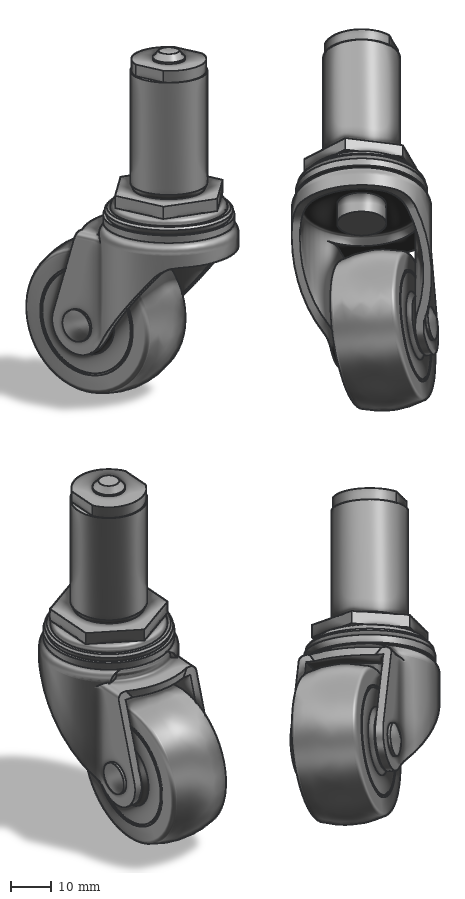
import cadquery as cq
import math


TOTAL_HEIGHT = 92.0
TRAIL = 19.0

WHEEL_RADIUS = 20.0
TREAD_EDGE_RADIUS = 18.8
TREAD_HALF_WIDTH = 7.4
WHEEL_HALF_WIDTH = 8.5
SIDE_RADIUS = 17.5
GROOVE_OUTER_RADIUS = 14.0
GROOVE_INNER_RADIUS = 13.4
GROOVE_DEPTH = 0.3
HUB_BASE_RADIUS = 8.6
HUB_FACE_RADIUS = 7.2
HUB_HALF_WIDTH = 9.6

AXLE_RADIUS = 3.1
AXLE_HEAD_RADIUS = 4.1
AXLE_HEAD_RIM = 0.7
AXLE_HEAD_HEIGHT = 1.8

FORK_HALF_WIDTH = 12.05
SHEET = 2.0
SKIRT_RADIUS = 17.3
SKIRT_LEG_BLEND = 4.2
SKIRT_BOTTOM = 41.1
CROWN_TOP = 47.3
CROWN_EDGE_FILLET = 3.0
ROOF_TOP = 44.2
ROOF_LIP_RADIUS = 21.7
ROOF_EDGE_FILLET = 1.7
FRONT_WALL_RADIUS = 16.4
FRONT_WALL_EDGE = 1.4
FRONT_WALL_FOOT = 1.3
LEG_FRONT_TOP_X = -19.6
LEG_END_RADIUS = 7.7
LEG_REAR_ANGLE = math.radians(49.6)
REAR_BLEND = 8.0
INNER_CROWN_FILLET = 1.0

KINGPIN_RADIUS = 4.6
KINGPIN_HEAD_RADIUS = 6.1
KINGPIN_HEAD_BOTTOM = 39.9
RING_RADIUS = 16.3
RING_TOP = 49.2
SHIELD_LOWER_RADIUS = 15.5
SHIELD_RADIUS = 15.9
SHIELD_TOP_RADIUS = 15.4
SHIELD_RIM_BOTTOM = 50.5
SHIELD_RIM_TOP = 51.15
DOME_BASE_RADIUS = 14.5
DOME_TOP_RADIUS = 12.9
HEX_BOTTOM = 53.0
HEX_TOP = 56.2
HEX_ACROSS_FLATS = 25.4
SLEEVE_RADIUS = 9.6
SLEEVE_TOP = 86.85
SLEEVE_FOOT_RADIUS = 8.9
SLEEVE_FOOT_HEIGHT = 1.4
CAP_RADIUS = 9.3
CAP_TOP = 89.9
CAP_HALF_FLATS = 8.3
TIP_RADIUS = 4.05
TIP_TOP_RADIUS = 2.6
TIP_RIM = 0.5

AXLE_HEIGHT = WHEEL_RADIUS
LEG_INNER_HALF_WIDTH = FORK_HALF_WIDTH - SHEET
ROOF_BOTTOM = ROOF_TOP - SHEET
CROWN_BOTTOM = CROWN_TOP - SHEET
LEG_FRONT_X = -TRAIL - WHEEL_RADIUS
LEG_BOTTOM = AXLE_HEIGHT - LEG_END_RADIUS
BLEND_CENTRE_Y = FORK_HALF_WIDTH + SKIRT_LEG_BLEND
BLEND_CENTRE_DISTANCE = SKIRT_RADIUS + SKIRT_LEG_BLEND
BLEND_CENTRE_X = -math.sqrt(BLEND_CENTRE_DISTANCE**2 - BLEND_CENTRE_Y**2)


def polar(centre, radius, angle):
    """Point at the given radius and angle (radians) around a centre."""
    return (centre[0] + radius * math.cos(angle), centre[1] + radius * math.sin(angle))


def turned_wheel():
    """Wheel turned about its own axis, with a narrow ring groove in each side face."""
    bevel = math.sqrt(0.5)
    corner = TREAD_EDGE_RADIUS - SIDE_RADIUS
    corner_width = WHEEL_HALF_WIDTH - TREAD_HALF_WIDTH
    mid_radius = SIDE_RADIUS + corner * bevel
    mid_width = TREAD_HALF_WIDTH + corner_width * bevel
    body = (
        cq.Workplane("XY")
        .moveTo(AXLE_RADIUS, -HUB_HALF_WIDTH)
        .lineTo(HUB_FACE_RADIUS, -HUB_HALF_WIDTH)
        .lineTo(HUB_BASE_RADIUS, -WHEEL_HALF_WIDTH)
        .lineTo(SIDE_RADIUS, -WHEEL_HALF_WIDTH)
        .threePointArc((mid_radius, -mid_width), (TREAD_EDGE_RADIUS, -TREAD_HALF_WIDTH))
        .threePointArc((WHEEL_RADIUS, 0), (TREAD_EDGE_RADIUS, TREAD_HALF_WIDTH))
        .threePointArc((mid_radius, mid_width), (SIDE_RADIUS, WHEEL_HALF_WIDTH))
        .lineTo(HUB_BASE_RADIUS, WHEEL_HALF_WIDTH)
        .lineTo(HUB_FACE_RADIUS, HUB_HALF_WIDTH)
        .lineTo(AXLE_RADIUS, HUB_HALF_WIDTH)
        .close()
        .revolve(360, (0, 0), (0, 1))
    )
    groove_floor = WHEEL_HALF_WIDTH - GROOVE_DEPTH
    for side in (-1, 1):
        groove = (
            cq.Workplane("XZ", origin=(0, side * groove_floor, 0))
            .circle(GROOVE_OUTER_RADIUS)
            .circle(GROOVE_INNER_RADIUS)
            .extrude(-side * GROOVE_DEPTH)
        )
        body = body.cut(groove)
    return body.translate((-TRAIL, 0, AXLE_HEIGHT))


def riveted_axle():
    """Plain rod with a domed head outside each leg."""
    rim = FORK_HALF_WIDTH + AXLE_HEAD_RIM
    crown = FORK_HALF_WIDTH + AXLE_HEAD_HEIGHT
    rise = AXLE_HEAD_HEIGHT - AXLE_HEAD_RIM
    dome_radius = (AXLE_HEAD_RADIUS**2 + rise**2) / (2 * rise)
    half_angle = math.asin(AXLE_HEAD_RADIUS / dome_radius) / 2
    mid_radius = dome_radius * math.sin(half_angle)
    mid_y = crown - dome_radius * (1 - math.cos(half_angle))
    return (
        cq.Workplane("XY")
        .moveTo(0, -crown)
        .threePointArc((mid_radius, -mid_y), (AXLE_HEAD_RADIUS, -rim))
        .lineTo(AXLE_HEAD_RADIUS, -FORK_HALF_WIDTH)
        .lineTo(AXLE_RADIUS, -FORK_HALF_WIDTH)
        .lineTo(AXLE_RADIUS, FORK_HALF_WIDTH)
        .lineTo(AXLE_HEAD_RADIUS, FORK_HALF_WIDTH)
        .lineTo(AXLE_HEAD_RADIUS, rim)
        .threePointArc((mid_radius, mid_y), (0, crown))
        .close()
        .revolve(360, (0, 0), (0, 1))
        .translate((-TRAIL, 0, AXLE_HEIGHT))
    )


def keyhole_prism(inset, bottom, top):
    """Round skirt blended into two parallel legs, offset inwards by the inset."""
    half_width = FORK_HALF_WIDTH - inset
    radius = SKIRT_RADIUS - inset
    blend = SKIRT_LEG_BLEND + inset
    toward_skirt = math.atan2(-BLEND_CENTRE_Y, -BLEND_CENTRE_X)
    mid_angle = (toward_skirt - math.pi / 2) / 2
    touch_x, touch_y = polar((BLEND_CENTRE_X, BLEND_CENTRE_Y), blend, toward_skirt)
    mid_x, mid_y = polar((BLEND_CENTRE_X, BLEND_CENTRE_Y), blend, mid_angle)
    return (
        cq.Workplane("XY", origin=(0, 0, bottom))
        .moveTo(LEG_FRONT_X, half_width)
        .lineTo(BLEND_CENTRE_X, half_width)
        .threePointArc((mid_x, mid_y), (touch_x, touch_y))
        .threePointArc((radius, 0), (touch_x, -touch_y))
        .threePointArc((mid_x, -mid_y), (BLEND_CENTRE_X, -half_width))
        .lineTo(LEG_FRONT_X, -half_width)
        .close()
        .extrude(top - bottom)
    )


def leg_side_prism():
    """Side shape of the fork: tapered legs with round ends and a sloping rear edge up to the skirt."""
    axle = (-TRAIL, AXLE_HEIGHT)
    reach_x = LEG_FRONT_TOP_X - axle[0]
    reach_z = ROOF_TOP - axle[1]
    front_angle = math.atan2(reach_z, reach_x) + math.acos(LEG_END_RADIUS / math.hypot(reach_x, reach_z))
    front_touch = polar(axle, LEG_END_RADIUS, front_angle)
    rear_touch = polar(axle, LEG_END_RADIUS, LEG_REAR_ANGLE - math.pi / 2)
    leg_end = polar(axle, LEG_END_RADIUS, -math.pi / 2)
    slope_run = (SKIRT_BOTTOM - rear_touch[1]) / math.tan(LEG_REAR_ANGLE)
    corner_x = rear_touch[0] + slope_run
    blend_length = REAR_BLEND * math.tan(LEG_REAR_ANGLE / 2)
    slope_end = polar((corner_x, SKIRT_BOTTOM), -blend_length, LEG_REAR_ANGLE)
    blend_end = (corner_x + blend_length, SKIRT_BOTTOM)
    blend_centre = (blend_end[0], SKIRT_BOTTOM - REAR_BLEND)
    blend_mid = polar(blend_centre, REAR_BLEND, (math.pi + LEG_REAR_ANGLE) / 2)
    return (
        cq.Workplane("XZ")
        .moveTo(LEG_FRONT_TOP_X, CROWN_TOP)
        .lineTo(LEG_FRONT_TOP_X, ROOF_TOP)
        .lineTo(*front_touch)
        .threePointArc(leg_end, rear_touch)
        .lineTo(*slope_end)
        .threePointArc(blend_mid, blend_end)
        .lineTo(SKIRT_RADIUS, SKIRT_BOTTOM)
        .lineTo(SKIRT_RADIUS, CROWN_TOP)
        .close()
        .extrude(SKIRT_RADIUS, both=True)
    )


def crown_disc():
    """Round top above the skirt; its front steps in to a wall that is blended into the roof."""
    height = CROWN_TOP - ROOF_BOTTOM
    disc = (
        cq.Workplane("XY", origin=(0, 0, ROOF_BOTTOM))
        .circle(SKIRT_RADIUS)
        .extrude(height)
        .faces(">Z")
        .edges()
        .fillet(CROWN_EDGE_FILLET)
    )
    foot_radius = FRONT_WALL_RADIUS + FRONT_WALL_FOOT
    foot_centre = (foot_radius, ROOF_TOP + FRONT_WALL_FOOT)
    edge_radius = FRONT_WALL_RADIUS - FRONT_WALL_EDGE
    edge_centre = (edge_radius, CROWN_TOP - FRONT_WALL_EDGE)
    stepped = (
        cq.Workplane("XZ")
        .moveTo(0, ROOF_BOTTOM)
        .lineTo(foot_radius, ROOF_BOTTOM)
        .lineTo(foot_radius, ROOF_TOP)
        .threePointArc(
            polar(foot_centre, FRONT_WALL_FOOT, math.radians(225)),
            (FRONT_WALL_RADIUS, foot_centre[1]),
        )
        .lineTo(FRONT_WALL_RADIUS, edge_centre[1])
        .threePointArc(
            polar(edge_centre, FRONT_WALL_EDGE, math.radians(45)),
            (edge_radius, CROWN_TOP),
        )
        .lineTo(0, CROWN_TOP)
        .close()
        .revolve(360, (0, 0), (0, 1))
    )
    front_zone = cq.Workplane("XY").box(
        foot_radius + BLEND_CENTRE_X, 2 * FORK_HALF_WIDTH, height, centered=(False, True, False)
    ).translate((-foot_radius, 0, ROOF_BOTTOM))
    return disc.cut(front_zone).union(stepped.intersect(front_zone))


def roof_lip():
    """Front end of the roof between the legs, rounded concentrically with the swivel axis."""
    length = ROOF_LIP_RADIUS - SKIRT_RADIUS
    strip = cq.Workplane("XY").box(
        length, 2 * LEG_INNER_HALF_WIDTH, SHEET, centered=(False, True, False)
    ).translate((-ROOF_LIP_RADIUS, 0, ROOF_BOTTOM))
    disc = cq.Workplane("XY", origin=(0, 0, ROOF_BOTTOM)).circle(ROOF_LIP_RADIUS).extrude(SHEET)
    return strip.intersect(disc)


def fork_cavity():
    """Space inside the sheet, open at the front and below."""
    channel = keyhole_prism(SHEET, LEG_BOTTOM, ROOF_BOTTOM)
    crown_space = (
        cq.Workplane("XY", origin=(0, 0, LEG_BOTTOM))
        .circle(SKIRT_RADIUS - SHEET)
        .extrude(CROWN_BOTTOM - LEG_BOTTOM)
        .faces(">Z")
        .edges()
        .fillet(INNER_CROWN_FILLET)
    )
    return channel.union(crown_space)


def pressed_fork():
    """Sheet fork with holes for the axle and the kingpin."""
    body = keyhole_prism(0, LEG_BOTTOM, ROOF_TOP)
    body = body.faces(">Z").edges().fillet(ROOF_EDGE_FILLET)
    body = body.union(crown_disc())
    body = body.intersect(leg_side_prism()).cut(fork_cavity()).union(roof_lip())
    axle_hole = (
        cq.Workplane("XZ", origin=(-TRAIL, 0, AXLE_HEIGHT))
        .circle(AXLE_RADIUS)
        .extrude(FORK_HALF_WIDTH, both=True)
    )
    kingpin_hole = cq.Workplane("XY", origin=(0, 0, CROWN_BOTTOM)).circle(KINGPIN_RADIUS).extrude(SHEET)
    return body.cut(axle_hole).cut(kingpin_hole)


def turned_stem():
    """Round parts of the stem, from the kingpin head up to the tip."""
    dome_angle = math.radians(45)
    dome_width = DOME_BASE_RADIUS - DOME_TOP_RADIUS
    dome_height = HEX_BOTTOM - SHIELD_RIM_TOP
    dome_mid = (
        DOME_TOP_RADIUS + dome_width * math.cos(dome_angle),
        SHIELD_RIM_TOP + dome_height * math.sin(dome_angle),
    )
    return (
        cq.Workplane("XZ")
        .moveTo(0, KINGPIN_HEAD_BOTTOM)
        .lineTo(KINGPIN_HEAD_RADIUS, KINGPIN_HEAD_BOTTOM)
        .lineTo(KINGPIN_HEAD_RADIUS, CROWN_BOTTOM)
        .lineTo(KINGPIN_RADIUS, CROWN_BOTTOM)
        .lineTo(KINGPIN_RADIUS, CROWN_TOP)
        .lineTo(RING_RADIUS, CROWN_TOP)
        .lineTo(RING_RADIUS, RING_TOP)
        .lineTo(SHIELD_LOWER_RADIUS, RING_TOP)
        .lineTo(SHIELD_RADIUS, SHIELD_RIM_BOTTOM)
        .lineTo(SHIELD_TOP_RADIUS, SHIELD_RIM_TOP)
        .lineTo(DOME_BASE_RADIUS, SHIELD_RIM_TOP)
        .threePointArc(dome_mid, (DOME_TOP_RADIUS, HEX_BOTTOM))
        .lineTo(SLEEVE_FOOT_RADIUS, HEX_BOTTOM)
        .lineTo(SLEEVE_FOOT_RADIUS, HEX_TOP)
        .lineTo(SLEEVE_RADIUS, HEX_TOP + SLEEVE_FOOT_HEIGHT)
        .lineTo(SLEEVE_RADIUS, SLEEVE_TOP)
        .lineTo(CAP_RADIUS, SLEEVE_TOP)
        .lineTo(CAP_RADIUS, CAP_TOP)
        .lineTo(TIP_RADIUS, CAP_TOP)
        .lineTo(TIP_RADIUS, CAP_TOP + TIP_RIM)
        .lineTo(TIP_TOP_RADIUS, TOTAL_HEIGHT)
        .lineTo(0, TOTAL_HEIGHT)
        .close()
        .revolve(360, (0, 0), (0, 1))
    )


def fitted_stem():
    """Turned stem with its hexagon and two wrench flats on the cap."""
    across_corners = HEX_ACROSS_FLATS / math.cos(math.pi / 6)
    hexagon = (
        cq.Workplane("XY", origin=(0, 0, HEX_BOTTOM)).polygon(6, across_corners).extrude(HEX_TOP - HEX_BOTTOM)
    )
    body = turned_stem().union(hexagon)
    flat_depth = CAP_RADIUS - CAP_HALF_FLATS
    for side in (-1, 1):
        flat_cutter = cq.Workplane("XY").box(
            2 * CAP_RADIUS, flat_depth, CAP_TOP - SLEEVE_TOP, centered=(True, True, False)
        ).translate((0, side * (CAP_HALF_FLATS + flat_depth / 2), SLEEVE_TOP))
        body = body.cut(flat_cutter)
    return body


wheel = turned_wheel()
axle = riveted_axle()
fork = pressed_fork()
stem = fitted_stem()

result = cq.Compound.makeCompound([fork.val(), wheel.val(), axle.val(), stem.val()])